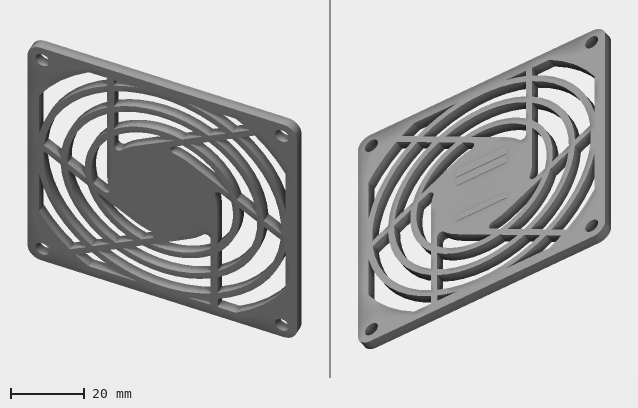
import cadquery as cq
import math

side = 80.1
plate_thickness = 3.0
corner_radius = 4.0
hole_diameter = 4.2
hole_spacing = 71.3

opening_side = 73.2
opening_radius = 42.6

bar_width = 2.0
ring_inner_radii = (21.1, 28.3, 35.4)
hub_radius = 16.4
spoke_count = 6
spoke_step = 360.0 / spoke_count
slot_tip_radius = 1.3

strip_rise = 0.2
strip_length = 16.0
strips = ((9.2, 2.9), (5.85, 2.9), (-8.3, 2.0))


def extrude_back(sketch):
    """Extrude a sketch from the front face to the back face."""
    return sketch.extrude(-plate_thickness)


def front_plane():
    return cq.Workplane("XZ")


def turn(body, angle):
    """Rotate a body about the grille axis, counterclockwise seen from the front."""
    return body.rotate((0, 0, 0), (0, -1, 0), angle)


def make_opening():
    square = extrude_back(front_plane().rect(opening_side, opening_side))
    return square.intersect(extrude_back(front_plane().circle(opening_radius)))


def make_frame():
    plate = extrude_back(front_plane().rect(side, side)).edges("|Y").fillet(corner_radius)
    holes = extrude_back(
        front_plane()
        .rect(hole_spacing, hole_spacing, forConstruction=True)
        .vertices()
        .circle(hole_diameter / 2)
    )
    return plate.cut(holes).cut(make_opening())


def make_ring(inner_radius):
    return extrude_back(front_plane().circle(inner_radius + bar_width).circle(inner_radius))


def make_spoke():
    """Vertical bar whose outer edge leaves the hub circle as a tangent."""
    outline = front_plane().moveTo(-hub_radius, 0).rect(bar_width, opening_radius, centered=False)
    return extrude_back(outline)


def make_hub_with_spokes():
    body = extrude_back(front_plane().circle(hub_radius))
    spoke = make_spoke()
    for i in range(spoke_count):
        body = body.union(turn(spoke, i * spoke_step))
    return round_slot_tips(body)


def round_slot_tips(body):
    """Round the sharp corners where the inner edge of each spoke meets the hub circle."""
    inner_edge = hub_radius - bar_width
    first_angle = math.degrees(math.acos(-inner_edge / hub_radius))
    reach = 0.1
    for i in range(spoke_count):
        angle = math.radians(first_angle + i * spoke_step)
        x = hub_radius * math.cos(angle)
        z = hub_radius * math.sin(angle)
        near_corner = cq.selectors.BoxSelector(
            (x - reach, 0, z - reach), (x + reach, plate_thickness, z + reach)
        )
        body = body.edges("|Y").edges(near_corner).fillet(slot_tip_radius)
    return body


def make_grille():
    grille = make_hub_with_spokes()
    for inner_radius in ring_inner_radii:
        grille = grille.union(make_ring(inner_radius))
    return grille.intersect(make_opening())


def make_strip(centre_z, height):
    strip = cq.Workplane("XY").box(strip_length, plate_thickness + strip_rise, height)
    return strip.translate((0, (plate_thickness + strip_rise) / 2, centre_z))


result = make_frame().union(make_grille())
for centre_z, height in strips:
    result = result.union(make_strip(centre_z, height))